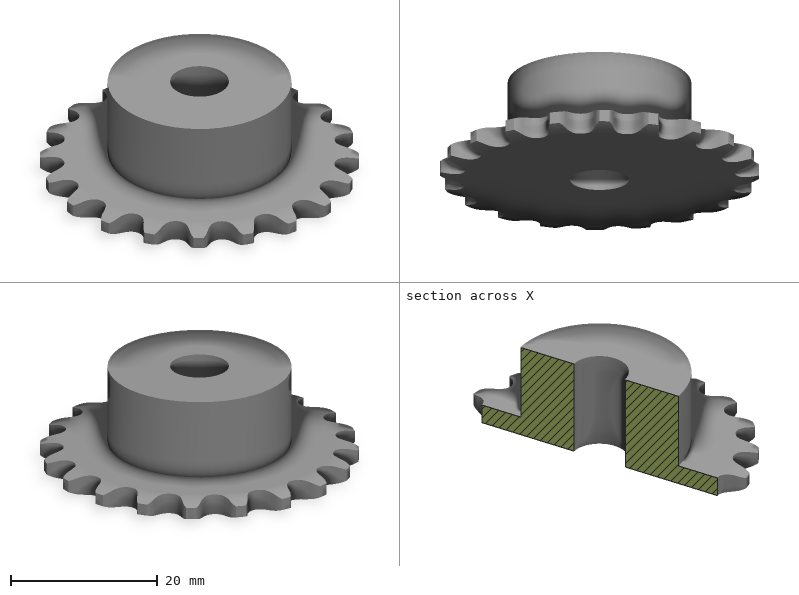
import cadquery as cq
import math

tooth_count = 20
total_height = 14.0
plate_thickness = 2.9
rim_thickness = 1.65
shoulder_radius = 18.75
hub_diameter = 25.0
bore_diameter = 8.0

root_radius = 18.6
tip_height = 21.55
seat_radius = 1.7
seat_half_angle = math.radians(52)
working_radius = 4.35
flank_angle = math.radians(67)
flank_length = 0.41
tip_curve_radius = 2.7

gap_pitch_angle = 360 / tooth_count


def arc_point(center, radius, angle):
    """Point on a gap arc, with the angle measured from straight down."""
    return (center[0] + radius * math.sin(angle), center[1] - radius * math.cos(angle))


def mirrored(point):
    return (-point[0], point[1])


seat_center = (0, root_radius + seat_radius)
seat_end = arc_point(seat_center, seat_radius, seat_half_angle)
working_center = arc_point(seat_end, -working_radius, seat_half_angle)
working_middle = arc_point(working_center, working_radius, (seat_half_angle + flank_angle) / 2)
flank_start = arc_point(working_center, working_radius, flank_angle)
flank_end = (
    flank_start[0] + flank_length * math.cos(flank_angle),
    flank_start[1] + flank_length * math.sin(flank_angle),
)
tip_center = arc_point(flank_end, tip_curve_radius, flank_angle)
tip_angle = math.acos((tip_height - tip_center[1]) / tip_curve_radius)
tip_middle = arc_point(tip_center, -tip_curve_radius, (flank_angle + tip_angle) / 2)
tooth_corner = arc_point(tip_center, -tip_curve_radius, tip_angle)
tip_radius = math.hypot(*tooth_corner)


def make_blank():
    """Disc whose two faces curve down to the rim, tangent to the flat shoulder."""
    drop = (plate_thickness - rim_thickness) / 2
    reach = tip_radius - shoulder_radius
    curve_radius = (reach**2 + drop**2) / (2 * drop)
    half_sweep = math.asin(reach / curve_radius) / 2
    middle_radius = shoulder_radius + curve_radius * math.sin(half_sweep)
    middle_drop = curve_radius * (1 - math.cos(half_sweep))
    return (
        cq.Workplane("XZ")
        .lineTo(shoulder_radius, 0)
        .threePointArc((middle_radius, middle_drop), (tip_radius, drop))
        .lineTo(tip_radius, plate_thickness - drop)
        .threePointArc((middle_radius, plate_thickness - middle_drop), (shoulder_radius, plate_thickness))
        .lineTo(0, plate_thickness)
        .close()
        .revolve(360, (0, 0), (0, 1))
    )


def make_gap():
    """Cutter for the gap centred on +Y, closed by a straight line beyond the tips."""
    outer_height = tip_radius + seat_radius
    outer_corner = (tooth_corner[0], outer_height)
    return (
        cq.Workplane("XY")
        .moveTo(*mirrored(tooth_corner))
        .threePointArc(mirrored(tip_middle), mirrored(flank_end))
        .lineTo(*mirrored(flank_start))
        .threePointArc(mirrored(working_middle), mirrored(seat_end))
        .threePointArc((0, root_radius), seat_end)
        .threePointArc(working_middle, flank_start)
        .lineTo(*flank_end)
        .threePointArc(tip_middle, tooth_corner)
        .lineTo(*outer_corner)
        .lineTo(*mirrored(outer_corner))
        .close()
        .extrude(plate_thickness)
    )


sprocket = make_blank()
gap = make_gap()
for index in range(tooth_count):
    sprocket = sprocket.cut(gap.rotate((0, 0, 0), (0, 0, 1), index * gap_pitch_angle))

hub = cq.Workplane("XY").circle(hub_diameter / 2).extrude(total_height)
bore = cq.Workplane("XY").circle(bore_diameter / 2).extrude(total_height)

result = sprocket.union(hub).cut(bore)